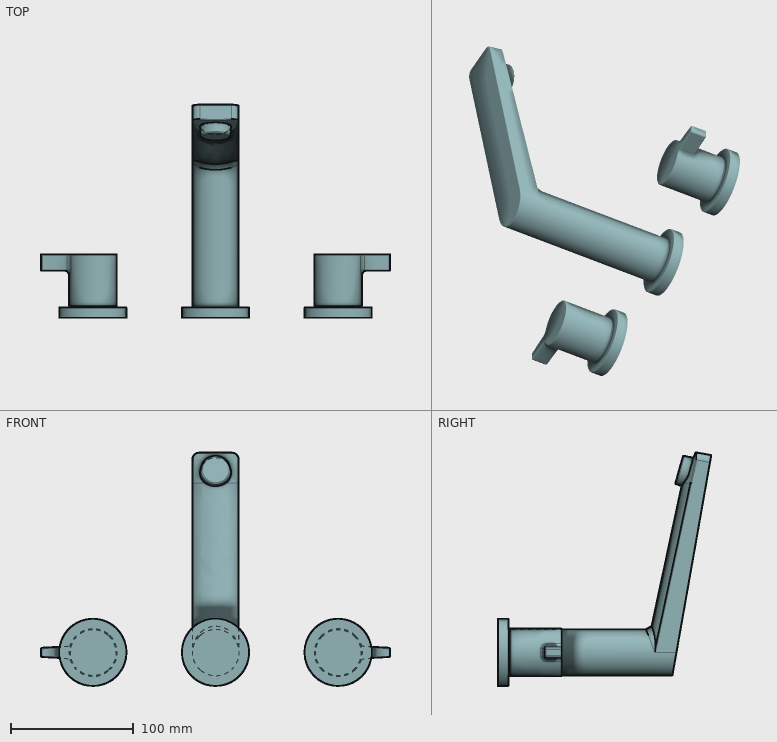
import cadquery as cq
import math

OVERALL_WIDTH = 284.8
HANDLE_SPACING = 100.0

FLANGE_DIAMETER = 55.0
FLANGE_THICKNESS = 8.8
FLANGE_EDGE_RADIUS = 0.9

SPOUT_DIAMETER = 38.0
SPOUT_REACH = 174.0
ARM_LEAN = math.radians(10)
ARM_TOP_DEPTH = 11.7
ARM_TOP_HEIGHT = 163.0
ARM_BASE_FRONT = 128.0
ARM_BULGE = 7.0
SHOULDER_HEIGHT = 138.0
ARM_TOP_BULGE = 1.5
ARM_CORNER_RADIUS = 6.0
SPOUT_EDGE_RADIUS = 0.9
CROTCH_FRONT_Y = 120.8
CROTCH_BACK_BASE_Y = 132.5
CROTCH_BACK_TOP_Y = 128.2
CROTCH_BACK_HEIGHT = 23.0

NOZZLE_DIAMETER = 24.0
NOZZLE_TAPER = 5.0
NOZZLE_TILT = math.radians(16)
NOZZLE_FACE_Y = 147.8
NOZZLE_FACE_Z = 149.0
NOZZLE_LENGTH = 8.5
NOZZLE_EDGE_RADIUS = 1.0

HANDLE_DIAMETER = 39.0
HANDLE_TOP = 52.0
NECK_DIAMETER = 38.0
NECK_LENGTH = 0.9
HANDLE_EDGE_RADIUS = 0.9
LEVER_DEPTH = 13.7
LEVER_TIP_THICKNESS = 7.7
LEVER_ROOT_THICKNESS = 10.5
LEVER_TIP_RADIUS = 1.5
LEVER_EDGE_RADIUS = 0.9
LEVER_FLARE_RADIUS = 3.7
ROOT_MARGIN = 1.5

spout_radius = SPOUT_DIAMETER / 2
handle_radius = HANDLE_DIAMETER / 2
top_back_y = SPOUT_REACH + SPOUT_EDGE_RADIUS * (math.cos(ARM_LEAN) + math.sin(ARM_LEAN) - 1)
top_back_z = ARM_TOP_HEIGHT - ARM_TOP_DEPTH * math.sin(ARM_LEAN)
top_front_y = top_back_y - ARM_TOP_DEPTH * math.cos(ARM_LEAN)
lever_root_x = handle_radius - 2.8
lever_reach = OVERALL_WIDTH / 2 - HANDLE_SPACING


def disc(diameter, start, end):
    """Cylinder about the Y axis between two Y positions."""
    return cq.Workplane("XZ", origin=(0, start, 0)).circle(diameter / 2).extrude(start - end)


def flange():
    return disc(FLANGE_DIAMETER, 0, FLANGE_THICKNESS).faces(">Y").edges().fillet(FLANGE_EDGE_RADIUS)


def arm_back_y(z):
    return top_back_y - (top_back_z - z) * math.tan(ARM_LEAN)


def arm_front_y(z):
    return ARM_BASE_FRONT + (top_front_y - ARM_BASE_FRONT) * z / ARM_TOP_HEIGHT


def arm_section(back, front, crown):
    """Closed outline with a straight back and sides and an arc front, from (Y, Z) points."""
    back_left = cq.Vector(-spout_radius, *back)
    back_right = cq.Vector(spout_radius, *back)
    front_left = cq.Vector(-spout_radius, *front)
    front_right = cq.Vector(spout_radius, *front)
    return cq.Wire.assembleEdges([
        cq.Edge.makeLine(back_left, back_right),
        cq.Edge.makeLine(back_right, front_right),
        cq.Edge.makeThreePointArc(front_right, cq.Vector(0, *crown), front_left),
        cq.Edge.makeLine(front_left, back_left),
    ])


def level_arm_section(z):
    front_y = arm_front_y(z)
    return arm_section((arm_back_y(z), z), (front_y, z), (front_y - ARM_BULGE, z))


def corner_waste(side):
    """Material outside the rounding of one top corner of the arm; side is -1 or 1."""
    top_back = cq.Plane(
        origin=(0, top_back_y, top_back_z),
        xDir=(1, 0, 0),
        normal=(0, -math.cos(ARM_LEAN), math.sin(ARM_LEAN)),
    )
    center_x = spout_radius - ARM_CORNER_RADIUS
    arc_reach = ARM_CORNER_RADIUS * math.sqrt(0.5)
    return (
        cq.Workplane(top_back)
        .moveTo(side * spout_radius, -ARM_CORNER_RADIUS)
        .threePointArc(
            (side * (center_x + arc_reach), arc_reach - ARM_CORNER_RADIUS),
            (side * center_x, 0),
        )
        .lineTo(side * center_x, ARM_CORNER_RADIUS)
        .lineTo(side * (spout_radius + ARM_CORNER_RADIUS), ARM_CORNER_RADIUS)
        .lineTo(side * (spout_radius + ARM_CORNER_RADIUS), -ARM_CORNER_RADIUS)
        .close()
        .extrude(2 * ARM_TOP_DEPTH, both=True)
    )


def arm():
    """Leaning arm: crowned front up to the shoulder, then flattening to the tilted top."""
    crown_y = top_front_y - ARM_TOP_BULGE * math.cos(ARM_LEAN)
    crown_z = ARM_TOP_HEIGHT + ARM_TOP_BULGE * math.sin(ARM_LEAN)
    top_section = arm_section(
        (top_back_y, top_back_z), (top_front_y, ARM_TOP_HEIGHT), (crown_y, crown_z)
    )
    sections = [level_arm_section(0), level_arm_section(SHOULDER_HEIGHT), top_section]
    blank = cq.Workplane(cq.Solid.makeLoft(sections, True)).clean()
    side_edges = blank.edges("%BSPLINE")
    top_edge = blank.faces(">Z").edges("<Y")
    rounded = side_edges.add(top_edge).fillet(SPOUT_EDGE_RADIUS)
    for side in (-1, 1):
        rounded = rounded.cut(corner_waste(side))
    return rounded


def barrel():
    """Round barrel, its far end cut along the leaning back of the arm."""
    blank = disc(SPOUT_DIAMETER, 0, top_back_y)
    end_cut = (
        cq.Workplane("YZ")
        .polyline([
            (arm_back_y(-spout_radius), -spout_radius),
            (arm_back_y(spout_radius), spout_radius),
            (top_back_y, spout_radius),
            (top_back_y, -spout_radius),
        ])
        .close()
        .extrude(spout_radius, both=True)
    )
    return blank.cut(end_cut)


def nozzle():
    face = cq.Plane(
        origin=(0, NOZZLE_FACE_Y, NOZZLE_FACE_Z),
        xDir=(1, 0, 0),
        normal=(0, -math.cos(NOZZLE_TILT), math.sin(NOZZLE_TILT)),
    )
    blank = (
        cq.Workplane(face)
        .circle(NOZZLE_DIAMETER / 2)
        .extrude(-NOZZLE_LENGTH, taper=-NOZZLE_TAPER)
    )
    return blank.faces("<Y").edges().fillet(NOZZLE_EDGE_RADIUS)


def half_ellipse(base_y, crest_y, crest_z):
    """Half ellipse standing on the spout width at Z = 0, its crest at the given Y and Z."""
    height = math.hypot(crest_y - base_y, crest_z)
    plane = cq.Plane(
        origin=(0, base_y, 0),
        xDir=(1, 0, 0),
        normal=(0, -crest_z, crest_y - base_y),
    )
    arc = cq.Workplane(plane).ellipseArc(spout_radius, height, 0, 180, startAtCurrent=False)
    return arc.close().wire().val()


def crotch_blend():
    """Sloping web between the barrel top and the arm front, fading out at the sides."""
    front = half_ellipse(ARM_BASE_FRONT, CROTCH_FRONT_Y, spout_radius)
    back = half_ellipse(CROTCH_BACK_BASE_Y, CROTCH_BACK_TOP_Y, CROTCH_BACK_HEIGHT)
    return cq.Workplane(cq.Solid.makeLoft([front, back], True))


def spout():
    back_direction = cq.Vector(0, math.cos(ARM_LEAN), -math.sin(ARM_LEAN))
    back = cq.selectors.DirectionMinMaxSelector(back_direction)
    bent = arm().union(barrel())
    bent = bent.faces(back).edges().fillet(SPOUT_EDGE_RADIUS)
    return bent.union(crotch_blend()).union(nozzle()).union(flange())


def knob():
    neck_end = FLANGE_THICKNESS + NECK_LENGTH
    grip = disc(HANDLE_DIAMETER, neck_end, HANDLE_TOP)
    grip = grip.faces("<Y").edges().fillet(HANDLE_EDGE_RADIUS)
    return grip.union(disc(NECK_DIAMETER, 0, neck_end))


def lever():
    """Lever toward +X from the knob axis, thinner at its rounded tip."""
    tip = LEVER_TIP_THICKNESS / 2
    root = LEVER_ROOT_THICKNESS / 2
    return (
        cq.Workplane("XZ", origin=(0, HANDLE_TOP, 0))
        .polyline([
            (lever_root_x, -root),
            (lever_reach, -tip),
            (lever_reach, tip),
            (lever_root_x, root),
        ])
        .close()
        .extrude(LEVER_DEPTH)
        .edges("|Y and >X")
        .fillet(LEVER_TIP_RADIUS)
        .faces("<Y")
        .edges("not <X")
        .fillet(LEVER_EDGE_RADIUS)
    )


def handle():
    """Handle about the Y axis, its lever toward +X."""
    body = knob().union(lever())
    lever_bottom = HANDLE_TOP - LEVER_DEPTH
    root_box = cq.selectors.BoxSelector(
        (handle_radius - ROOT_MARGIN, lever_bottom - ROOT_MARGIN, -handle_radius),
        (handle_radius + ROOT_MARGIN, HANDLE_TOP - ROOT_MARGIN, handle_radius),
    )
    flared = body.edges(root_box).fillet(LEVER_FLARE_RADIUS)
    rounded = flared.faces(">Y").edges().fillet(HANDLE_EDGE_RADIUS)
    return rounded.union(flange())


def handle_pair():
    right = handle()
    left = right.mirror("YZ")
    return [right.translate((HANDLE_SPACING, 0, 0)), left.translate((-HANDLE_SPACING, 0, 0))]


handles = handle_pair()
result = cq.Compound.makeCompound([spout().val(), *[body.val() for body in handles]])